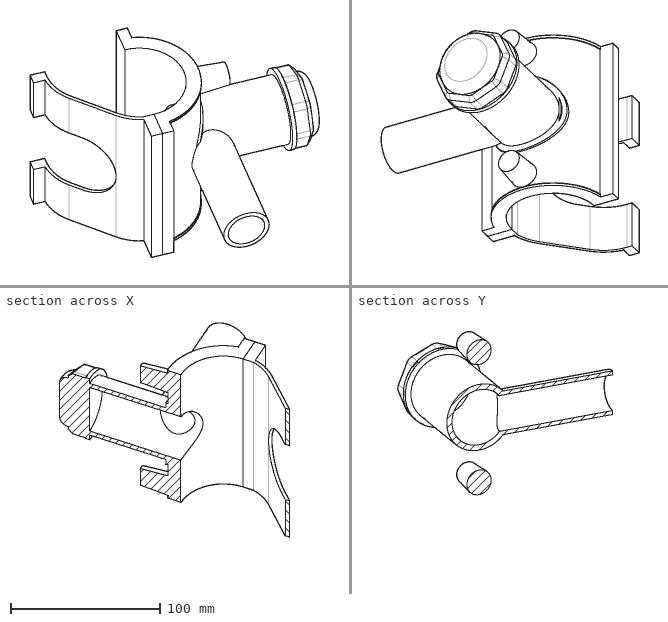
import cadquery as cq
import math

LENGTH = 118.0
BORE_RADIUS = 31.3
FLANGE_REACH = 50.0
FLANGE_THICKNESS = 8.0

SHELL_RADIUS = 41.0
RIM_RADIUS = 41.5
RIM_WIDTH = 2.0
PAD_RADIUS = 42.7
PAD_DIAMETER = 56.6
SHOULDER_DIAMETER = 51.3
SHOULDER_TOP_Y = 35.3

TOWER_DIAMETER = 48.1
TOWER_BORE_DIAMETER = 39.6
COLLAR_DIAMETER = 56.6
COLLAR_BASE_Y = 98.7
COLLAR_THICKNESS = 3.0
CAP_ACROSS_FLATS = 52.5
CAP_SIDES = 8
GRIP_HEIGHT = 13.0
CAP_CORNER_RADIUS = 6.6
CAP_CHAMFER = 3.4
DOME_DIAMETER = 45.3
DOME_TOP_Y = 121.2

PIPE_DIAMETER = 32.0
PIPE_BORE_DIAMETER = 25.7
PIPE_AXIS_Y = 43.0
PIPE_END_X = 99.0

PEG_TIP_RADIUS = 8.0
PEG_ROOT_RADIUS = 9.5
PEG_TIP_Y = 61.4
PEG_ROOT_Y = 38.7
PEG_END_DISTANCE = 11.7

STRAP_INNER_RADIUS = 32.3
STRAP_OUTER_RADIUS = 34.7
STRAP_RUN = 35.3
BEND_ANGLE = math.radians(45)
TAB_LEFT_X = -28.9
TAB_RIGHT_X = -21.3
TAB_BOTTOM_Y = -67.5
SLOT_WIDTH = 50.4
SLOT_REACH = 75.5


def z_block(x_min, x_max, y_min, y_max):
    """Full-length rectangular block, centred on Z = 0."""
    block = cq.Workplane("XY").box(x_max - x_min, y_max - y_min, LENGTH, centered=(False, False, True))
    return block.translate((x_min, y_min, 0))


def z_cylinder(radius, length, z_center=0.0):
    """Cylinder on the pipe axis."""
    return cq.Workplane("XY").workplane(offset=z_center - length / 2).circle(radius).extrude(length)


def y_cylinder(diameter, y_start, y_end):
    """Cylinder on the tower axis."""
    start_plane = cq.Workplane("XZ", origin=(0, y_start, 0))
    return start_plane.circle(diameter / 2).extrude(-(y_end - y_start))


def x_cylinder(diameter, x_end):
    """Cylinder on the side pipe axis, starting at the tower axis."""
    return cq.Workplane("YZ", origin=(0, PIPE_AXIS_Y, 0)).circle(diameter / 2).extrude(x_end)


def make_shell():
    """Half-round shell with end rims, a pad and shoulder under the tower, and two flanges."""
    shell = z_cylinder(SHELL_RADIUS, LENGTH)
    for side in (-1, 1):
        shell = shell.union(z_cylinder(RIM_RADIUS, RIM_WIDTH, side * (LENGTH - RIM_WIDTH) / 2))
    pad = z_cylinder(PAD_RADIUS, PAD_DIAMETER).intersect(y_cylinder(PAD_DIAMETER, 0, PAD_RADIUS))
    shoulder = y_cylinder(SHOULDER_DIAMETER, 0, SHOULDER_TOP_Y)
    upper_half = z_block(-FLANGE_REACH, FLANGE_REACH, 0, FLANGE_REACH)
    flanges = z_block(-FLANGE_REACH, FLANGE_REACH, 0, FLANGE_THICKNESS)
    return shell.union(pad).union(shoulder).intersect(upper_half).union(flanges)


def make_dome(base_y):
    """Flat-topped disc whose whole side is a quarter round."""
    base_radius = DOME_DIAMETER / 2
    round_radius = DOME_TOP_Y - base_y
    flat_radius = base_radius - round_radius
    reach = round_radius / math.sqrt(2)
    return (
        cq.Workplane("XY")
        .moveTo(0, base_y)
        .lineTo(base_radius, base_y)
        .threePointArc((flat_radius + reach, base_y + reach), (flat_radius, DOME_TOP_Y))
        .lineTo(0, DOME_TOP_Y)
        .close()
        .revolve(360, (0, 0, 0), (0, 1, 0))
    )


def make_cap():
    """Round collar, octagonal grip with rounded corners, and a domed top."""
    grip_base_y = COLLAR_BASE_Y + COLLAR_THICKNESS
    grip_top_y = grip_base_y + GRIP_HEIGHT
    collar = y_cylinder(COLLAR_DIAMETER, COLLAR_BASE_Y, grip_base_y)
    across_corners = CAP_ACROSS_FLATS / math.cos(math.pi / CAP_SIDES)
    grip_plane = cq.Workplane("XZ", origin=(0, grip_base_y, 0))
    grip = grip_plane.polygon(CAP_SIDES, across_corners).extrude(-GRIP_HEIGHT)
    grip = grip.edges("|Y").fillet(CAP_CORNER_RADIUS).faces(">Y").edges().chamfer(CAP_CHAMFER)
    return collar.union(grip).union(make_dome(grip_top_y))


def make_peg(z_center):
    """Tapered peg rising from the shell."""
    profile = [(0, PEG_ROOT_Y), (PEG_ROOT_RADIUS, PEG_ROOT_Y), (PEG_TIP_RADIUS, PEG_TIP_Y), (0, PEG_TIP_Y)]
    peg = cq.Workplane("XY").polyline(profile).close().revolve(360, (0, 0, 0), (0, 1, 0))
    return peg.translate((0, 0, z_center))


def make_saddle():
    saddle = make_shell()
    saddle = saddle.union(y_cylinder(TOWER_DIAMETER, 0, COLLAR_BASE_Y)).union(make_cap())
    saddle = saddle.union(x_cylinder(PIPE_DIAMETER, PIPE_END_X))
    for side in (-1, 1):
        saddle = saddle.union(make_peg(side * (LENGTH / 2 - PEG_END_DISTANCE)))
    saddle = saddle.cut(z_cylinder(BORE_RADIUS, LENGTH))
    saddle = saddle.cut(y_cylinder(TOWER_BORE_DIAMETER, 0, COLLAR_BASE_Y))
    return saddle.cut(x_cylinder(PIPE_BORE_DIAMETER, PIPE_END_X))


def make_strap_band():
    """Thin band: a bend about the pipe axis, a straight run at 45 degrees, then a second bend."""
    inner = STRAP_INNER_RADIUS
    outer = STRAP_OUTER_RADIUS
    shift = STRAP_RUN * math.cos(BEND_ANGLE)

    def bend_point(center, radius, angle):
        return (center + radius * math.cos(angle), center - radius * math.sin(angle))

    quarter = math.pi / 2
    first_middle = BEND_ANGLE / 2
    second_middle = (BEND_ANGLE + quarter) / 2
    band = (
        cq.Workplane("XY", origin=(0, 0, -LENGTH / 2))
        .moveTo(inner, 0)
        .threePointArc(bend_point(0, inner, first_middle), bend_point(0, inner, BEND_ANGLE))
        .lineTo(*bend_point(-shift, inner, BEND_ANGLE))
        .threePointArc(bend_point(-shift, inner, second_middle), bend_point(-shift, inner, quarter))
        .lineTo(*bend_point(-shift, outer, quarter))
        .threePointArc(bend_point(-shift, outer, second_middle), bend_point(-shift, outer, BEND_ANGLE))
        .lineTo(*bend_point(0, outer, BEND_ANGLE))
        .threePointArc(bend_point(0, outer, first_middle), bend_point(0, outer, 0))
        .close()
        .extrude(LENGTH)
    )
    tab_top_y = -shift - inner
    return band.union(z_block(TAB_LEFT_X, TAB_RIGHT_X, TAB_BOTTOM_Y, tab_top_y))


def make_strap_slot():
    """Round-ended slot square to the straight run, open through the tab, that clears the tower."""
    depth = 2 * STRAP_OUTER_RADIUS
    run_plane = cq.Plane(
        origin=(0, 0, 0),
        xDir=(-math.cos(BEND_ANGLE), -math.sin(BEND_ANGLE), 0),
        normal=(math.sin(BEND_ANGLE), -math.cos(BEND_ANGLE), 0),
    )
    end_radius = SLOT_WIDTH / 2
    round_end = cq.Workplane(run_plane).center(end_radius, 0).circle(end_radius).extrude(depth)
    straight_center = end_radius + SLOT_REACH / 2
    straight = cq.Workplane(run_plane).center(straight_center, 0).rect(SLOT_REACH, SLOT_WIDTH).extrude(depth)
    return round_end.union(straight)


def make_strap():
    flange = z_block(BORE_RADIUS, FLANGE_REACH, -FLANGE_THICKNESS, 0)
    return make_strap_band().union(flange).cut(make_strap_slot())


saddle = make_saddle()
strap = make_strap()
result = cq.Compound.makeCompound([saddle.solids().val(), strap.solids().val()])